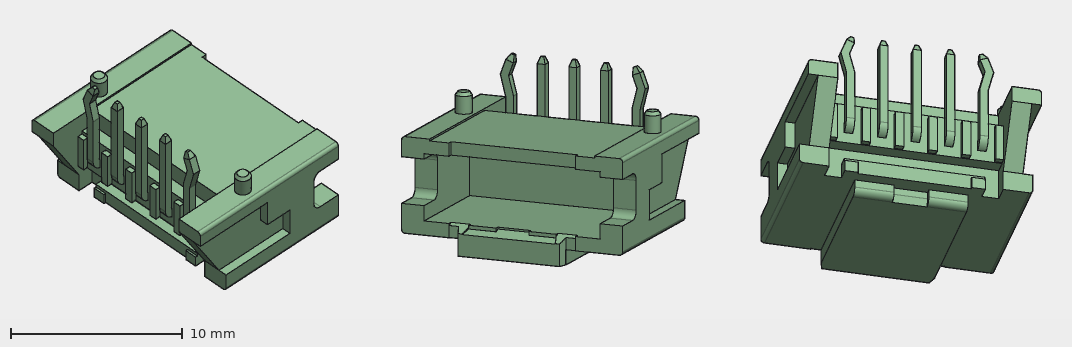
import cadquery as cq
import math


width = 14.0
rail_thickness = 1.78
rail_height = 5.8
rail_top_length = 11.24
rail_bottom_length = 9.15
rail_edge_radius = 0.22
lower_lip_height = 1.25
upper_lip_bottom = 4.79

pocket_depth = 0.59
pocket_step_height = 3.07
pocket_lower_rear = 3.96
pocket_upper_rear = 5.78

body_width = width - 2 * rail_thickness
body_height = 5.68
body_length = 8.09
pin_block_bottom = 1.92
pin_block_top = 4.51
pin_block_front = 8.9

notch_depth = 1.99
notch_bottom = 1.78
notch_top = 4.56
notch_radius = 0.5

beam_width = 8.43
beam_height = 0.91
beam_front = 8.76
beam_end_height = 0.7
arm_width = 6.8
arm_drop = 0.91
arm_front = 8.05
arm_radius = 0.42
arm_notch_width = 2.09
arm_slant_height = 0.48
arm_notch_depth = 0.31
arm_notch_slant = 0.14

cutout_width = 8.01
cutout_depth = 0.32
shoulder_setback = 0.05
head_reach = 0.5
head_tip_width = 6.44
head_slope = 0.5
head_height = 0.7
head_relief_width = 5.55
head_relief_tip_width = 5.88
head_relief_height = 0.62
head_relief_slope = 0.4
pad_inner = 1.04

cavity_width = 11.15
cavity_depth = 6.72
cavity_top = 4.89
cavity_floor = head_height + head_slope * cutout_depth

pitch = 2.0
pin_count = 5
pin_size = 0.5
pin_gap = 0.03
pin_top = 8.99
pin_tip_length = 0.4
pin_tip_size = 0.21
pin_bend_bottom = 2.56
pin_bend_radius = 0.75
kink_start = 6.47
kink_elbow = 7.71
kink_offset = 0.32
rib_width = 0.5
rib_bottom = 1.97
rib_top = 4.28
rib_front = 9.24

post_spacing = 11.95
post_diameter = 1.0
post_top = 7.07
post_setback = 6.79
post_chamfer_height = 0.21
post_chamfer_inset = 0.15


def box(x0, x1, y0, y1, z0, z1):
    """Axis-aligned block between two corners."""
    return cq.Workplane("XY").box(x1 - x0, y1 - y0, z1 - z0, centered=False).translate((x0, y0, z0))


def centred_box(x_width, y0, y1, z0, z1):
    """Block centred on X."""
    return box(-x_width / 2, x_width / 2, y0, y1, z0, z1)


def side_prism(points, x0, x1):
    """Prism along X from a (y, z) outline."""
    return cq.Workplane("YZ").polyline(points).close().extrude(x1 - x0).translate((x0, 0, 0))


def symmetric_prism(half_outline, z0, z1):
    """Vertical prism from the +X half of an (x, y) outline, mirrored in X."""
    outline = half_outline + [(-x, y) for x, y in reversed(half_outline)]
    return cq.Workplane("XY").polyline(outline).close().extrude(z1 - z0).translate((0, 0, z0))


def make_rail():
    """Rail on the -X side, with rounded outer edges and the stepped pocket."""
    outer = -width / 2
    outline = [
        (0, 0),
        (0, rail_height),
        (-rail_top_length, rail_height),
        (-rail_top_length, upper_lip_bottom),
        (-rail_bottom_length, lower_lip_height),
        (-rail_bottom_length, 0),
    ]
    rail = side_prism(outline, outer, outer + rail_thickness)
    rail = rail.faces("<X").edges("|Y").fillet(rail_edge_radius)
    pocket = [
        (-rail_top_length, upper_lip_bottom),
        (-pocket_upper_rear, upper_lip_bottom),
        (-pocket_upper_rear, pocket_step_height),
        (-pocket_lower_rear, pocket_step_height),
        (-pocket_lower_rear, lower_lip_height),
        (-rail_top_length, lower_lip_height),
    ]
    return rail.cut(side_prism(pocket, outer, outer + pocket_depth))


def make_post():
    """Locating post on the -X rail, rooted in its upper lip, with a conical lead-in."""
    radius = post_diameter / 2
    profile = [
        (0, upper_lip_bottom),
        (radius, upper_lip_bottom),
        (radius, post_top - post_chamfer_height),
        (radius - post_chamfer_inset, post_top),
        (0, post_top),
    ]
    post = cq.Workplane("XZ").polyline(profile).close().revolve(360, (0, 0, 0), (0, 1, 0))
    return post.translate((-post_spacing / 2, -post_setback, 0))


def make_housing():
    """Central body and the block that holds the pins."""
    body = centred_box(body_width, -body_length, 0, 0, body_height)
    pin_block = centred_box(body_width, -pin_block_front, -body_length, pin_block_bottom, pin_block_top)
    return body.union(pin_block)


def make_ribs():
    """Ribs midway between the pins; the end ones stop at the rails."""
    ribs = cq.Workplane("XY")
    for i in range(pin_count + 1):
        x = (i - pin_count / 2) * pitch
        x0 = max(x - rib_width / 2, -body_width / 2)
        x1 = min(x + rib_width / 2, body_width / 2)
        ribs = ribs.union(box(x0, x1, -rib_front, -pin_block_front, rib_bottom, rib_top))
    return ribs


def make_mating_notch():
    """Cutter for the rear notch, rounded along its inner edges."""
    notch = centred_box(width, -notch_depth, 0, notch_bottom, notch_top)
    return notch.faces("<Y").edges("|X").fillet(notch_radius)


def make_latch_front():
    """Beam across the front with a thicker, lower block at each end."""
    beam = centred_box(beam_width, -beam_front, -body_length, 0, beam_height)
    ends = centred_box(beam_width, -pin_block_front, -body_length, 0, beam_end_height)
    gap = centred_box(arm_width, -pin_block_front, -beam_front, 0, beam_end_height)
    return beam.union(ends.cut(gap))


def make_latch_arm():
    """Arm under the housing, with a rounded front edge and a finger notch."""
    arm = centred_box(arm_width, -arm_front, 0, -arm_drop, 0)
    arm = arm.faces("<Y").edges("<Z").fillet(arm_radius)
    slant_top = arm_slant_height - arm_drop
    notch = [
        (-arm_front, -arm_drop),
        (-arm_front, 0),
        (-arm_front + arm_notch_depth, 0),
        (-arm_front + arm_notch_depth, slant_top),
        (-arm_front + arm_notch_depth + arm_notch_slant, -arm_drop),
    ]
    return arm.cut(side_prism(notch, -arm_notch_width / 2, arm_notch_width / 2))


def above_slope(height_at_rear_face, slope):
    """Cutter for everything over the latch head above a plane that falls toward the rear."""
    outline = [
        (-cutout_depth, height_at_rear_face + slope * cutout_depth),
        (head_reach, height_at_rear_face - slope * head_reach),
        (head_reach, body_height),
        (-cutout_depth, body_height),
    ]
    return side_prism(outline, -cutout_width / 2, cutout_width / 2)


def make_latch_head():
    """Sloped head that tapers past the rear face, with a shallower relief and two flat pads."""
    lip_plan = [
        (arm_width / 2, -cutout_depth),
        (arm_width / 2, -shoulder_setback),
        (head_tip_width / 2, head_reach),
    ]
    relief_plan = [
        (head_relief_width / 2, -cutout_depth),
        (head_relief_width / 2, -shoulder_setback),
        (head_relief_tip_width / 2, head_reach),
    ]
    shoulder = centred_box(cutout_width, -cutout_depth, -shoulder_setback, 0, body_height)
    head = symmetric_prism(lip_plan, -arm_drop, body_height).union(shoulder)
    head = head.cut(above_slope(head_height, head_slope))
    relief = symmetric_prism(relief_plan, 0, body_height)
    head = head.cut(relief.intersect(above_slope(head_relief_height, head_relief_slope)))

    pad_outer = head_relief_width / 2
    for x0, x1 in ((-pad_outer, -pad_inner), (pad_inner, pad_outer)):
        head = head.union(box(x0, x1, -cutout_depth, -shoulder_setback, 0, cavity_floor))
    return head


def make_pin(x, kink):
    """Pin bent up out of the pin block; kink is the sideways offset of its elbow (0 for straight)."""
    front = -pin_block_front - pin_gap - pin_size
    y = front + pin_size / 2
    bend_top = pin_bend_bottom + pin_bend_radius

    bend = (
        cq.Workplane("YZ")
        .moveTo(front, bend_top)
        .radiusArc((front + pin_bend_radius, pin_bend_bottom), -pin_bend_radius)
        .lineTo(front + pin_bend_radius, pin_bend_bottom + pin_size)
        .radiusArc((front + pin_size, bend_top), pin_bend_radius - pin_size)
        .close()
        .extrude(pin_size)
        .translate((x - pin_size / 2, 0, 0))
    )

    lean = math.atan2(-kink, pin_top - pin_tip_length - kink_elbow)
    tip_rise = pin_tip_length * math.cos(lean) + pin_tip_size / 2 * abs(math.sin(lean))
    tip_base = (x, y, pin_top - tip_rise)
    centreline = [(x, y, bend_top)]
    if kink != 0:
        centreline += [(x, y, kink_start), (x + kink, y, kink_elbow)]
    centreline.append(tip_base)
    path = cq.Workplane("XY").polyline(centreline)
    shank = cq.Workplane("XY", origin=centreline[0]).rect(pin_size, pin_size).sweep(path, transition="right")

    direction = cq.Vector(*tip_base) - cq.Vector(*centreline[-2])
    tip_plane = cq.Plane(origin=tip_base, xDir=(direction.z, 0, -direction.x), normal=direction.toTuple())
    tip = (
        cq.Workplane(tip_plane)
        .rect(pin_size, pin_size)
        .workplane(offset=pin_tip_length)
        .rect(pin_tip_size, pin_tip_size)
        .loft(ruled=True)
    )
    return bend.union(shank).union(tip)


rail = make_rail().union(make_post())
result = make_housing().union(rail).union(rail.mirror("YZ"))
result = result.cut(make_mating_notch())
result = result.cut(centred_box(cavity_width, -cavity_depth, 0, cavity_floor, cavity_top))
result = result.cut(centred_box(cutout_width, -cutout_depth, 0, 0, body_height))
result = result.union(make_ribs()).union(make_latch_front()).union(make_latch_arm()).union(make_latch_head())

last_pin = pin_count - 1
elbow_offsets = {0: -kink_offset, last_pin: kink_offset}
for i in range(pin_count):
    result = result.union(make_pin((i - last_pin / 2) * pitch, elbow_offsets.get(i, 0)))